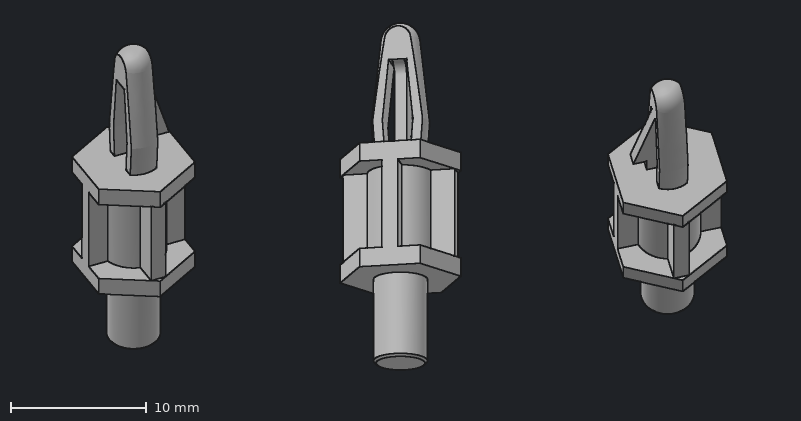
import cadquery as cq
import math

total_height = 26.1
stem_length = 6.42
body_height = 9.53
body_top = stem_length + body_height

stem_diameter = 4.0
stem_chamfer = 0.18

hex_across_corners = 9.1
hex_across_flats = 7.9
flange_thickness = 1.4
core_diameter = 4.9
rib_thickness = 1.17

peg_thickness = 2.17
peg_base_radius = 2.0
peg_bulge_radius = 2.17
peg_bulge_z = body_top + 2.5
dome_radius = 1.45
dome_center_z = total_height - dome_radius

slot_top_z = body_top + 7.13
slot_top_half_width = 0.68
slot_bulge_half_width = 1.15
slot_base_half_width = 0.97

latch_width = 0.91
latch_bottom_z = body_top + 0.91
latch_step_z = body_top + 1.95
latch_step_y = 1.7
latch_tip_y = 2.71
latch_root_radius = 0.95


def hex_prism(bottom_z, height):
    """Hexagon with corners on the X axis and flats facing +Y and -Y."""
    corner_x = hex_across_corners / 2
    flat_end_x = corner_x / 2
    flat_y = hex_across_flats / 2
    outline = [
        (corner_x, 0),
        (flat_end_x, flat_y),
        (-flat_end_x, flat_y),
        (-corner_x, 0),
        (-flat_end_x, -flat_y),
        (flat_end_x, -flat_y),
    ]
    return cq.Workplane("XY").workplane(offset=bottom_z).polyline(outline).close().extrude(height)


def make_stem():
    stem = cq.Workplane("XY").circle(stem_diameter / 2).extrude(stem_length)
    return stem.faces("<Z").chamfer(stem_chamfer)


def make_body():
    lower_flange = hex_prism(stem_length, flange_thickness)
    upper_flange = hex_prism(body_top - flange_thickness, flange_thickness)
    base = cq.Workplane("XY").workplane(offset=stem_length)
    core = base.circle(core_diameter / 2).extrude(body_height)
    x_rib_length = hex_across_corners - rib_thickness / math.sqrt(3)
    x_ribs = base.rect(x_rib_length, rib_thickness).extrude(body_height)
    y_ribs = base.rect(rib_thickness, hex_across_flats).extrude(body_height)
    return lower_flange.union(core).union(x_ribs).union(y_ribs).union(upper_flange)


def make_peg():
    rise = dome_center_z - peg_bulge_z
    bulge_angle = math.atan2(-rise, peg_bulge_radius)
    tangent_angle = bulge_angle + math.acos(dome_radius / math.hypot(peg_bulge_radius, rise))
    middle_angle = (tangent_angle + math.pi / 2) / 2

    def dome_point(angle):
        return (dome_radius * math.cos(angle), dome_center_z + dome_radius * math.sin(angle))

    turned = (
        cq.Workplane("XZ")
        .moveTo(0, body_top)
        .lineTo(peg_base_radius, body_top)
        .lineTo(peg_bulge_radius, peg_bulge_z)
        .lineTo(*dome_point(tangent_angle))
        .threePointArc(dome_point(middle_angle), (0, total_height))
        .close()
        .revolve(360, (0, 0, 0), (0, 1, 0))
    )
    slab = cq.Workplane("XY").box(
        2 * peg_bulge_radius, peg_thickness, total_height, centered=(True, True, False)
    )
    return turned.intersect(slab).cut(make_slot())


def make_slot():
    outline = [
        (slot_base_half_width, body_top),
        (slot_bulge_half_width, peg_bulge_z),
        (slot_top_half_width, slot_top_z),
        (-slot_top_half_width, slot_top_z),
        (-slot_bulge_half_width, peg_bulge_z),
        (-slot_base_half_width, body_top),
    ]
    return cq.Workplane("XZ").polyline(outline).close().extrude(peg_thickness, both=True)


def make_latch():
    arc_offset = latch_root_radius * math.sqrt(0.5)
    arc_center_z = slot_top_z - latch_root_radius
    arc_middle = (arc_offset - latch_root_radius, arc_center_z + arc_offset)
    return (
        cq.Workplane("YZ")
        .moveTo(0, latch_bottom_z)
        .lineTo(latch_step_y, latch_bottom_z)
        .lineTo(latch_step_y, latch_step_z)
        .lineTo(latch_tip_y, latch_step_z)
        .lineTo(peg_thickness / 2, slot_top_z)
        .lineTo(-latch_root_radius, slot_top_z)
        .threePointArc(arc_middle, (0, arc_center_z))
        .close()
        .extrude(latch_width / 2, both=True)
    )


result = make_stem().union(make_body()).union(make_peg()).union(make_latch())